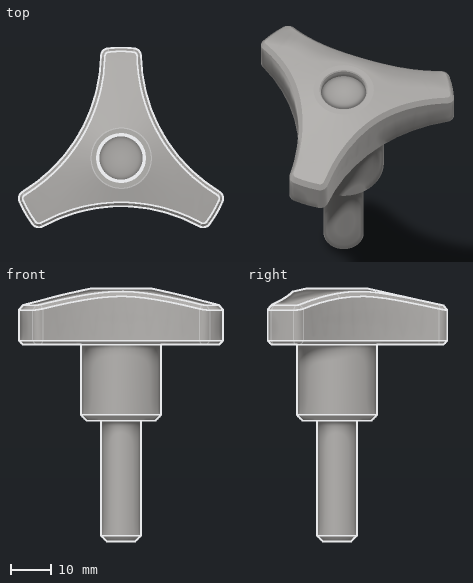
import cadquery as cq
import math

ARM_COUNT = 3
FIRST_ARM_ANGLE = 90
ARM_REACH = 27.5
ARM_END_WIDTH = 10.0
WAIST_DISTANCE = 12.0
ARM_CORNER_RADIUS = 2.0
HEAD_HEIGHT = 14.0
HEAD_CHAMFER = 1.0

TOP_FLAT_DIAMETER = 15.0
TOP_SLOPE_DEGREES = 12.5

RECESS_MOUTH_DIAMETER = 12.0
RECESS_DEPTH = 2.0
RECESS_CHAMFER = 0.25
RECESS_DRAFT_DEGREES = 5.0

HUB_DIAMETER = 20.0
HUB_LENGTH = 19.0
PIN_DIAMETER = 10.0
PIN_LENGTH = 30.0
SHAFT_CHAMFER = 1.5


def polar_point(along, across, angle):
    """Point given along and across (to the left of) a direction, in degrees."""
    turn = math.radians(angle)
    return (
        along * math.cos(turn) - across * math.sin(turn),
        along * math.sin(turn) + across * math.cos(turn),
    )


def make_star_prism():
    """Straight prism of the arms: convex ends joined by concave arcs."""
    half_width = ARM_END_WIDTH / 2
    corner_reach = math.sqrt(ARM_REACH**2 - half_width**2)
    pitch = 360 / ARM_COUNT
    outline = cq.Workplane("XY").moveTo(*polar_point(corner_reach, -half_width, FIRST_ARM_ANGLE))
    for arm in range(ARM_COUNT):
        angle = FIRST_ARM_ANGLE + arm * pitch
        tip = polar_point(ARM_REACH, 0, angle)
        corner = polar_point(corner_reach, half_width, angle)
        outline = outline.threePointArc(tip, corner)
        waist = polar_point(WAIST_DISTANCE, 0, angle + pitch / 2)
        next_corner = polar_point(corner_reach, -half_width, angle + pitch)
        outline = outline.threePointArc(waist, next_corner)
    prism = outline.close().extrude(HEAD_HEIGHT)
    return prism.edges("|Z").fillet(ARM_CORNER_RADIUS)


def revolve_about_z(profile):
    """Turn a closed (radius, height) polygon about the Z axis."""
    return cq.Workplane("XZ").polyline(profile).close().revolve(360, (0, 0, 0), (0, 1, 0))


def make_cone_envelope():
    """Body of revolution that bounds the head with its conical top."""
    flat_radius = TOP_FLAT_DIAMETER / 2
    envelope_radius = ARM_REACH + HEAD_CHAMFER
    drop = (envelope_radius - flat_radius) * math.tan(math.radians(TOP_SLOPE_DEGREES))
    return revolve_about_z([
        (0, 0),
        (envelope_radius, 0),
        (envelope_radius, HEAD_HEIGHT - drop),
        (flat_radius, HEAD_HEIGHT),
        (0, HEAD_HEIGHT),
    ])


def make_head():
    """Arms cut to the conical top, with the top and bottom outlines chamfered."""
    head = make_star_prism().intersect(make_cone_envelope())
    head = head.faces("<Z").edges().chamfer(HEAD_CHAMFER)
    return head.faces("%CONE").edges("%BSPLINE").chamfer(HEAD_CHAMFER)


def make_recess():
    """Cutter for the drafted recess with a chamfered mouth."""
    mouth_radius = RECESS_MOUTH_DIAMETER / 2
    wall_top_radius = mouth_radius - RECESS_CHAMFER
    wall_height = RECESS_DEPTH - RECESS_CHAMFER
    floor_radius = wall_top_radius - wall_height * math.tan(math.radians(RECESS_DRAFT_DEGREES))
    floor_height = HEAD_HEIGHT - RECESS_DEPTH
    return revolve_about_z([
        (0, floor_height),
        (floor_radius, floor_height),
        (wall_top_radius, HEAD_HEIGHT - RECESS_CHAMFER),
        (mouth_radius, HEAD_HEIGHT),
        (0, HEAD_HEIGHT),
    ])


def make_shaft(diameter, top, length):
    """Cylinder hanging down from height top, chamfered at its lower end."""
    shaft = cq.Workplane("XY").workplane(offset=top).circle(diameter / 2).extrude(-length)
    return shaft.faces("<Z").edges().chamfer(SHAFT_CHAMFER)


hub = make_shaft(HUB_DIAMETER, 0, HUB_LENGTH)
pin = make_shaft(PIN_DIAMETER, -HUB_LENGTH, PIN_LENGTH)
result = make_head().union(hub).union(pin).cut(make_recess())